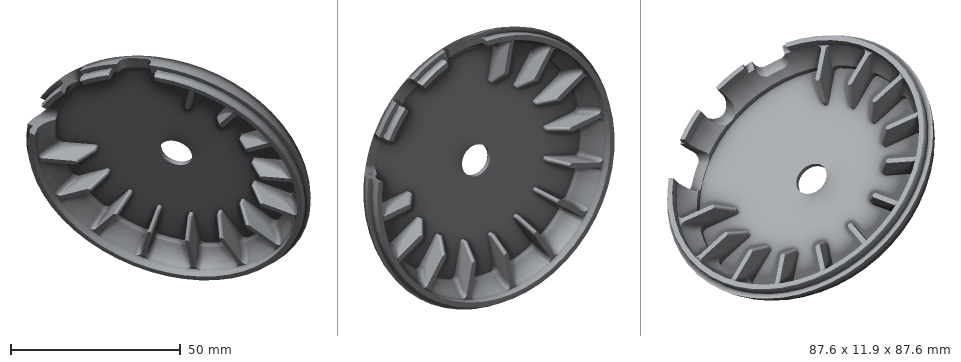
import cadquery as cq
import math


RIM_RADIUS = 43.8
BACK_RADIUS = 38.2
HEIGHT = 11.9
FLOOR = 1.5
LIP_HEIGHT = 8.9
OUTER_ARC = 15.3
WALL = 3.1
INNER_ARC = OUTER_ARC - WALL
FLOOR_RADIUS = 36.8
INNER_STEP = 3.2
MOUTH_RADIUS = 40.7
HOLE_RADIUS = 5.0

NECK_RADIUS = 42.25
NECK_HEIGHT = 0.6
NECK_TOP = LIP_HEIGHT + NECK_HEIGHT
BEAD_BULGE = 0.35

RIB_COUNT = 12
RIB_PITCH = 22.5
FIRST_RIB_ANGLE = 78.75
RIB_WIDTH = 1.5
RIB_FOOT_RADIUS = 24.4
RIB_FOOT_HEIGHT = 3.3
RIB_CREST_RADIUS = 28.8
RIB_WALL_FILLET = 1.5
RIB_OVERLAP = 1.1
ROOT_TOLERANCE = 0.01

WIDE_NOTCH_ANGLE = 163.0
WIDE_NOTCH_WIDTH = 12.8
WIDE_NOTCH_BOTTOM = 1.8
WIDE_NOTCH_CORNER = 2.5
ROUND_NOTCH_ANGLE = 134.1
ROUND_NOTCH_WIDTH = 8.4
ROUND_NOTCH_BOTTOM = 2.7
SHALLOW_NOTCH_ANGLE = 104.5
SHALLOW_NOTCH_WIDTH = 10.25
SHALLOW_NOTCH_BOTTOM = 5.3
SHALLOW_NOTCH_CORNER = 2.6
RING_GAP_WIDTH = 14.4
NOTCH_START = 30.7
NOTCH_END = 48.2


def make_cup():
    """Disc and curved wall, up to the flat lip."""
    profile = (
        cq.Workplane("XZ")
        .lineTo(BACK_RADIUS, 0)
        .radiusArc((RIM_RADIUS, LIP_HEIGHT), -OUTER_ARC)
        .lineTo(MOUTH_RADIUS, LIP_HEIGHT)
        .radiusArc((FLOOR_RADIUS, INNER_STEP), INNER_ARC)
        .lineTo(FLOOR_RADIUS, FLOOR)
        .lineTo(0, FLOOR)
        .close()
    )
    return profile.revolve(360, (0, 0, 0), (0, 1, 0))


def make_snap_ring():
    """Neck and rounded bead that stand on the lip."""
    profile = (
        cq.Workplane("XZ")
        .moveTo(MOUTH_RADIUS, LIP_HEIGHT)
        .lineTo(NECK_RADIUS, LIP_HEIGHT)
        .lineTo(NECK_RADIUS, NECK_TOP)
        .sagittaArc((NECK_RADIUS, HEIGHT), -BEAD_BULGE)
        .lineTo(MOUTH_RADIUS, HEIGHT)
        .close()
    )
    return profile.revolve(360, (0, 0, 0), (0, 1, 0))


def make_rib():
    """Rib along +X: its inner edge rises straight, then slopes out to the crest, fully rounded all along.

    The outer end is buried in the wall.
    """
    half_width = RIB_WIDTH / 2
    base = FLOOR / 2
    height = LIP_HEIGHT - base
    outer_end = MOUTH_RADIUS + RIB_OVERLAP
    lean = math.atan2(RIB_CREST_RADIUS - RIB_FOOT_RADIUS, LIP_HEIGHT - RIB_FOOT_HEIGHT)

    axis_crest = RIB_CREST_RADIUS + half_width / math.cos(lean)
    axis_base = axis_crest - height * math.tan(lean)
    plate = (
        cq.Workplane("XZ")
        .moveTo(axis_base, base)
        .lineTo(axis_crest, LIP_HEIGHT)
        .lineTo(outer_end, LIP_HEIGHT)
        .lineTo(FLOOR_RADIUS + RIB_OVERLAP, base)
        .close()
        .extrude(half_width, both=True)
    )
    slope = cq.Vector(math.sin(lean), 0, math.cos(lean))
    round_start = cq.Vector(axis_base, 0, base) - slope * RIB_WIDTH
    round_length = height / math.cos(lean) + 2 * RIB_WIDTH
    round_slope = cq.Workplane(cq.Solid.makeCylinder(half_width, round_length, round_start, slope))

    upright = (
        cq.Workplane("XY", origin=(0, 0, base))
        .moveTo(outer_end, -half_width)
        .lineTo(RIB_FOOT_RADIUS + half_width, -half_width)
        .threePointArc((RIB_FOOT_RADIUS, 0), (RIB_FOOT_RADIUS + half_width, half_width))
        .lineTo(outer_end, half_width)
        .close()
        .extrude(height)
    )
    return plate.union(round_slope).intersect(upright)


def add_ribs(cup):
    rib = make_rib()
    for index in range(RIB_COUNT):
        angle = FIRST_RIB_ANGLE - index * RIB_PITCH
        cup = cup.union(rib.rotate((0, 0, 0), (0, 0, 1), angle))
    return cup


def fillet_rib_roots(cup):
    """Round the corners where the rib sides meet the wall."""
    half_width = RIB_WIDTH / 2
    roots = []
    for edge in cup.edges().vals():
        middle = edge.positionAt(0.5)
        radius = math.hypot(middle.x, middle.y)
        on_wall = FLOOR_RADIUS - half_width < radius < MOUTH_RADIUS and FLOOR < middle.z < LIP_HEIGHT
        angle = math.degrees(math.atan2(middle.y, middle.x))
        off_angle = (angle - FIRST_RIB_ANGLE + RIB_PITCH / 2) % RIB_PITCH - RIB_PITCH / 2
        offset = abs(radius * math.sin(math.radians(off_angle)))
        beside_rib = abs(offset - half_width) < ROOT_TOLERANCE
        if on_wall and beside_rib:
            roots.append(edge)
    return cup.newObject(roots).fillet(RIB_WALL_FILLET)


def radial_cutter(profile, angle):
    """Sweep a Y-Z profile outward through the wall and turn it to its angle."""
    return profile.extrude(NOTCH_END - NOTCH_START).rotate((0, 0, 0), (0, 0, 1), angle)


def make_notch(angle, width, bottom, corner_radius):
    """Opening with a flat closed end and rounded corners."""
    side = width / 2
    flat = side - corner_radius
    profile = (
        cq.Workplane("YZ", origin=(NOTCH_START, 0, 0))
        .moveTo(-side, HEIGHT)
        .lineTo(-side, bottom + corner_radius)
        .radiusArc((-flat, bottom), -corner_radius)
        .lineTo(flat, bottom)
        .radiusArc((side, bottom + corner_radius), -corner_radius)
        .lineTo(side, HEIGHT)
        .close()
    )
    return radial_cutter(profile, angle)


def make_round_notch(angle, width, bottom):
    """Opening with a half-round closed end."""
    side = width / 2
    profile = (
        cq.Workplane("YZ", origin=(NOTCH_START, 0, 0))
        .moveTo(-side, HEIGHT)
        .lineTo(-side, bottom + side)
        .threePointArc((0, bottom), (side, bottom + side))
        .lineTo(side, HEIGHT)
        .close()
    )
    return radial_cutter(profile, angle)


def make_ring_gap(angle, width):
    """Square-sided break in the snap ring, down to the lip."""
    profile = (
        cq.Workplane("YZ", origin=(NOTCH_START, 0, LIP_HEIGHT))
        .moveTo(-width / 2, 0)
        .lineTo(width / 2, 0)
        .lineTo(width / 2, HEIGHT - LIP_HEIGHT)
        .lineTo(-width / 2, HEIGHT - LIP_HEIGHT)
        .close()
    )
    return radial_cutter(profile, angle)


cover = fillet_rib_roots(add_ribs(make_cup()))
cover = cover.union(make_snap_ring())
cover = cover.cut(cq.Workplane("XY").circle(HOLE_RADIUS).extrude(FLOOR))
cover = cover.cut(make_notch(WIDE_NOTCH_ANGLE, WIDE_NOTCH_WIDTH, WIDE_NOTCH_BOTTOM, WIDE_NOTCH_CORNER))
cover = cover.cut(make_round_notch(ROUND_NOTCH_ANGLE, ROUND_NOTCH_WIDTH, ROUND_NOTCH_BOTTOM))
cover = cover.cut(
    make_notch(SHALLOW_NOTCH_ANGLE, SHALLOW_NOTCH_WIDTH, SHALLOW_NOTCH_BOTTOM, SHALLOW_NOTCH_CORNER)
)
cover = cover.cut(make_ring_gap(SHALLOW_NOTCH_ANGLE, RING_GAP_WIDTH))

result = cover.rotate((0, 0, 0), (1, 0, 0), 90)